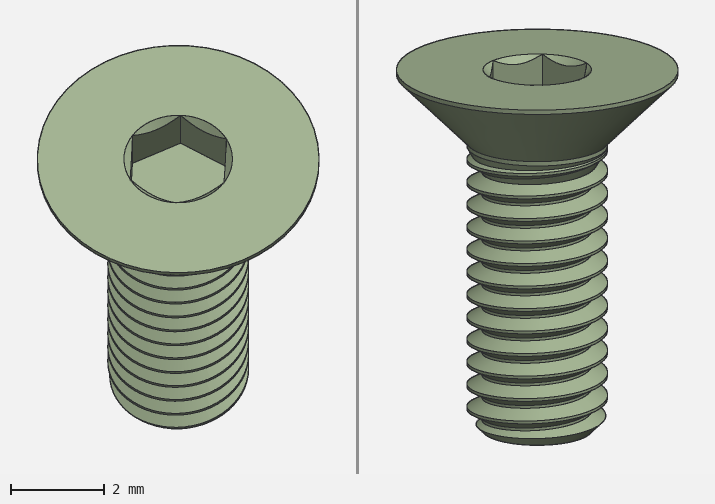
import cadquery as cq
import math

length = 8.0
head_radius = 3.0
shank_radius = head_radius / 2
rim_height = 0.1
neck_height = 0.1
hex_flats = 2.0
socket_depth = 1.0

pitch = shank_radius / 3
flank_slope = math.tan(math.radians(30))
crest_width = pitch / 8
thread_depth = (pitch - 2 * crest_width) / 2 / flank_slope
core_radius = shank_radius - thread_depth
tip_radius = 1.17
crest_start = 0.4 - 2 * pitch
thread_turns = 14
bore_radius = 0.64

cone_height = head_radius - shank_radius
neck_top = length - rim_height - cone_height
neck_bottom = neck_top - neck_height
runout_bottom = neck_bottom - thread_depth / flank_slope


def revolve_outline(points):
    """Revolve a closed (radius, height) outline around Z."""
    return cq.Workplane("XZ").polyline(points).close().revolve(360, (0, 0), (0, 1))


def make_body():
    """Head, neck and threadless core, with the runout cone between neck and core."""
    core_chamfer = core_radius - tip_radius
    return revolve_outline([
        (0, 0),
        (tip_radius, 0),
        (core_radius, core_chamfer),
        (core_radius, runout_bottom),
        (shank_radius, neck_bottom),
        (shank_radius, neck_top),
        (head_radius, length - rim_height),
        (head_radius, length),
        (0, length),
    ])


def make_threaded_tube():
    """Untrimmed threaded tube: helical bands, one set per turn, sewn to stepped ends."""
    crest_half = crest_width / 2
    root_half = pitch / 2 - crest_half
    tooth = [
        (bore_radius, -root_half),
        (core_radius, -root_half),
        (shank_radius, -crest_half),
        (shank_radius, crest_half),
        (core_radius, root_half),
        (core_radius, pitch - root_half),
        (bore_radius, pitch - root_half),
    ]

    def raised(crest_height):
        return [(radius, crest_height + rise) for radius, rise in tooth]

    def half_turn(radius, height, half):
        rise = half * pitch / 2
        helix = cq.Wire.makeHelix(pitch, pitch / 2, radius).translate(cq.Vector(0, 0, height + rise))
        return helix.rotate(cq.Vector(0, 0, 0), cq.Vector(0, 0, 1), half * 180).Edges()[0]

    def band(lower, upper):
        """One turn between two helices, in two halves because closed faces cut badly."""
        return [
            cq.Face.makeRuledSurface(half_turn(*lower, half), half_turn(*upper, half))
            for half in range(2)
        ]

    def tooth_section(crest_height):
        corners = [cq.Vector(radius, 0, height) for radius, height in raised(crest_height)]
        return cq.Face.makeFromWires(cq.Wire.makePolygon(corners, close=True))

    faces = []
    for turn in range(thread_turns):
        corners = raised(crest_start + turn * pitch)
        outside = corners[1:-1]
        for lower, upper in zip(outside, outside[1:]):
            faces += band(lower, upper)
        faces += band(corners[0], corners[-1])
    first = raised(crest_start)
    last = raised(crest_start + (thread_turns - 1) * pitch)
    faces += band(first[0], first[1])
    faces += band(last[-1], last[-2])
    faces.append(tooth_section(crest_start))
    faces.append(tooth_section(crest_start + thread_turns * pitch))
    return cq.Workplane(obj=cq.Solid.makeSolid(cq.Shell.makeShell(faces)))


def make_thread():
    """Threaded tube trimmed to the neck and to the 45 degree tip chamfer."""
    envelope = revolve_outline([
        (0, 0),
        (tip_radius, 0),
        (head_radius, head_radius - tip_radius),
        (head_radius, neck_bottom),
        (0, neck_bottom),
    ])
    return make_threaded_tube().intersect(envelope)


def make_socket():
    """Hexagonal socket with corners on +Y and -Y and a 45 degree lead-in cone."""
    corner_radius = hex_flats / math.sqrt(3)
    floor_level = length - socket_depth
    hexagon = (
        cq.Workplane("XY", origin=(0, 0, floor_level))
        .transformed(rotate=(0, 0, 90))
        .polygon(6, 2 * corner_radius)
        .extrude(socket_depth)
    )
    lead_in = revolve_outline([(0, length), (corner_radius, length), (0, length - corner_radius)])
    above_floor = cq.Workplane("XY", origin=(0, 0, floor_level)).circle(head_radius).extrude(socket_depth)
    return hexagon.union(lead_in.intersect(above_floor))


result = make_body().union(make_thread()).cut(make_socket())